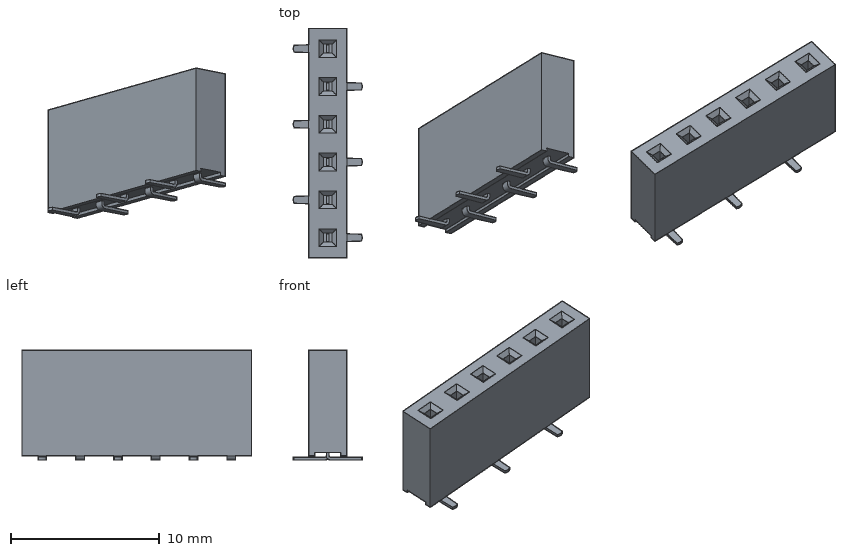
import cadquery as cq

BODY_LENGTH = 15.44
BODY_WIDTH = 2.56
BODY_HEIGHT = 7.1
STANDOFF = 0.3
BODY_TOP = STANDOFF + BODY_HEIGHT
CHANNEL_WIDTH = 1.73
CHANNEL_DEPTH = 0.22
CHANNEL_TOP = STANDOFF + CHANNEL_DEPTH

CONTACT_COUNT = 6
ROW_LENGTH = 12.7
PITCH = ROW_LENGTH / (CONTACT_COUNT - 1)
FUNNEL_MOUTH = 1.19
FUNNEL_DEPTH = 0.3
SOCKET_SIZE = 0.6
SOCKET_DEPTH = 4.63
SOCKET_FLOOR = BODY_TOP - SOCKET_DEPTH

LEAD_SPAN = 4.65
LEAD_REACH = LEAD_SPAN / 2
LEAD_THICKNESS = 0.2
STEM_WIDTH = 0.6
TIP_WIDTH = 0.48
TIP_BULGE = 0.06
BEND_INNER_RADIUS = 0.1
BEND_OUTER_RADIUS = BEND_INNER_RADIUS + LEAD_THICKNESS
BLADE_WIDTH = 0.5
BLADE_HEIGHT = 0.2


def box(width, length, bottom, top):
    """Upright block centred on the Z axis."""
    return cq.Workplane("XY").workplane(offset=bottom).rect(width, length).extrude(top - bottom)


def make_housing():
    """Block with a channel along its underside that leaves two feet."""
    block = box(BODY_WIDTH, BODY_LENGTH, STANDOFF, BODY_TOP)
    return block.cut(box(CHANNEL_WIDTH, BODY_LENGTH, STANDOFF, CHANNEL_TOP))


def make_socket():
    """Square socket with a funnel-shaped mouth."""
    funnel = (
        cq.Workplane("XY").workplane(offset=BODY_TOP)
        .rect(FUNNEL_MOUTH, FUNNEL_MOUTH)
        .workplane(offset=-FUNNEL_DEPTH)
        .rect(SOCKET_SIZE, SOCKET_SIZE)
        .loft(ruled=True)
    )
    return funnel.union(box(SOCKET_SIZE, SOCKET_SIZE, SOCKET_FLOOR, BODY_TOP - FUNNEL_DEPTH))


def make_lead():
    """Stem from the socket floor down through the housing, bent at a right angle towards +X."""
    half_stem = LEAD_THICKNESS / 2
    bend_x = half_stem + BEND_INNER_RADIUS
    strip = (
        cq.Workplane("XZ")
        .moveTo(-half_stem, SOCKET_FLOOR)
        .lineTo(-half_stem, BEND_OUTER_RADIUS)
        .radiusArc((bend_x, 0), -BEND_OUTER_RADIUS)
        .lineTo(LEAD_REACH, 0)
        .lineTo(LEAD_REACH, LEAD_THICKNESS)
        .lineTo(bend_x, LEAD_THICKNESS)
        .radiusArc((half_stem, BEND_OUTER_RADIUS), BEND_INNER_RADIUS)
        .lineTo(half_stem, SOCKET_FLOOR)
        .close()
        .extrude(STEM_WIDTH / 2, both=True)
    )
    outline = (
        cq.Workplane("XY")
        .moveTo(-half_stem, -STEM_WIDTH / 2)
        .lineTo(bend_x, -STEM_WIDTH / 2)
        .lineTo(LEAD_REACH - TIP_BULGE, -TIP_WIDTH / 2)
        .threePointArc((LEAD_REACH, 0), (LEAD_REACH - TIP_BULGE, TIP_WIDTH / 2))
        .lineTo(bend_x, STEM_WIDTH / 2)
        .lineTo(-half_stem, STEM_WIDTH / 2)
        .close()
        .extrude(SOCKET_FLOOR)
    )
    return strip.intersect(outline)


def make_blade():
    """Top of the contact, standing on the socket floor."""
    return box(LEAD_THICKNESS, BLADE_WIDTH, SOCKET_FLOOR, SOCKET_FLOOR + BLADE_HEIGHT)


result = make_housing()
socket = make_socket()
blade = make_blade()
right_lead = make_lead()
left_lead = right_lead.mirror("YZ")

for index in range(CONTACT_COUNT):
    y = index * PITCH - ROW_LENGTH / 2
    lead = right_lead if index % 2 == 0 else left_lead
    place = (0, y, 0)
    result = result.cut(socket.translate(place))
    result = result.union(lead.translate(place)).union(blade.translate(place))